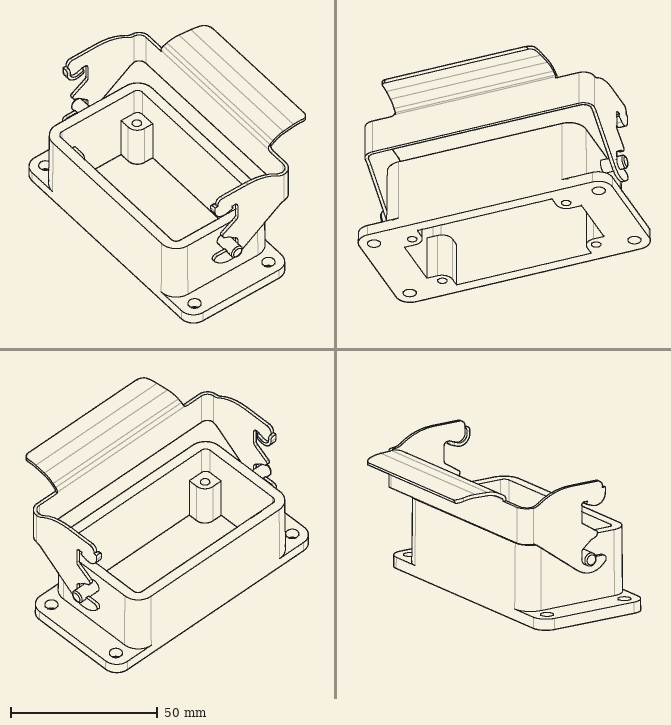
import cadquery as cq
import math

flange_length = 93.7
flange_width = 43.5
flange_height = 4.0
flange_radius = 5.25
housing_length = 73.7
housing_height = 27.7
housing_radius = 6.6
draft_angle = 0.6
cavity_length = 65.6
cavity_width = 35.2
cavity_radius = 2.1

boss_length = 7.9
boss_width = 7.6
boss_height = 16.8
boss_radius = 3.9
boss_hole_diameter = 3.2
boss_hole_x = 28.5
boss_hole_y = 13.5

mount_hole_diameter = 4.5
mount_hole_x = 41.6
mount_hole_y = 16.0

pin_radius = 2.3
pin_half_span = 45.1
pin_z = 21.7
pin_chamfer = 0.6

sheet = 1.2
lever_half_width = 42.4
lever_offset_x = -0.3
lever_back_y = 26.4
lever_bend_radius = 4.1
lever_top_z = 48.6
back_top_z = 43.5
back_bottom_z = 30.65
plate_slope = math.tan(math.radians(35))
shoulder_y = 21.2
shoulder_radius = 23.0
lower_corner_y = 21.8
strap_blend_radius = 4.7

window_radius = 1.3
window_bottom_z = 34.7
nose_upper = (-4.5, 30.4)
nose_lower = (-3.75, 28.9)
nose_root = (-1.4, 27.8)
nose_radius = 0.9
pin_slot_top_z = 24.75
jaw_tip_y = -9.9
jaw_tip_radius = 1.4
jaw_heel = (-1.7, 13.9)
jaw_heel_radius = 8.1

hook_front_y = -7.5
hook_top_z = 45.9
hook_nose_radius = 2.1
hook_radius = 4.0
hook_tip_y = 0.3
hook_tip_z = 41.0
hook_angle = math.radians(18.3)
lip_depth = 2 * sheet
lip_corner_radius = 1.1

tab_end_y = 44.3
tab_top_z = 47.5
tab_flat_start_y = 32.4
tab_flat_end_y = 37.2
tab_front_radius = 10.3
tab_front_angle = math.radians(28)
tab_heel_radius = 1.8
tab_tail_radius = 18.75
tab_root_half_width = 29.8
tab_end_half_width = 27.9
tab_corner_radius = 3.0
tab_root_fillet = 1.6

SIDES = (-1, 1)
OVERLAP = 0.9
TOUCHING = 0.0001


def rounded_outline(plane, corners):
    """Closed wire through (u, v, radius) corners, each rounded by its radius."""
    stretches = []
    for i, (u, v, radius) in enumerate(corners):
        corner = cq.Vector(u, v)
        before = (cq.Vector(*corners[i - 1][:2]) - corner).normalized()
        after = (cq.Vector(*corners[(i + 1) % len(corners)][:2]) - corner).normalized()
        half_angle = before.getAngle(after) / 2
        reach = radius / math.tan(half_angle)
        bisector = (before + after).normalized()
        middle = corner + bisector * (radius / math.sin(half_angle) - radius)
        stretches.append((corner + before * reach, middle, corner + after * reach, radius))

    path = cq.Workplane(plane).moveTo(*stretches[-1][2].toTuple()[:2])
    position = stretches[-1][2]
    for start, middle, end, radius in stretches:
        if (start - position).Length > TOUCHING:
            path = path.lineTo(start.x, start.y)
        if radius > 0:
            path = path.threePointArc((middle.x, middle.y), (end.x, end.y))
        position = end
    return path.close()


def rounded_block(length, width, height, radius):
    return cq.Workplane("XY").rect(length, width).extrude(height).edges("|Z").fillet(radius)


def drafted_block(length, width, height, radius):
    """Block with rounded corners that narrows upward from its base."""
    base = cq.Sketch().rect(length, width).vertices().fillet(radius)
    return cq.Workplane("XY").placeSketch(base).extrude(height, taper=draft_angle)


def make_boss(side_x, side_y):
    boss = (
        cq.Workplane("XY")
        .rect(boss_length + OVERLAP, boss_width + OVERLAP)
        .extrude(boss_height)
        .edges("|Z").edges("<X and <Y")
        .fillet(boss_radius)
    )
    boss = boss.translate((
        (cavity_length - boss_length + OVERLAP) / 2,
        (cavity_width - boss_width + OVERLAP) / 2,
        0,
    ))
    if side_x < 0:
        boss = boss.mirror("YZ")
    if side_y < 0:
        boss = boss.mirror("XZ")
    return boss


def make_base():
    flange = drafted_block(flange_length, flange_width, flange_height, flange_radius)
    base = flange.union(drafted_block(housing_length, flange_width, housing_height, housing_radius))
    base = base.cut(rounded_block(cavity_length, cavity_width, housing_height, cavity_radius))
    for side_x in SIDES:
        for side_y in SIDES:
            base = base.union(make_boss(side_x, side_y))
    holes = (
        (boss_hole_x, boss_hole_y, boss_hole_diameter),
        (mount_hole_x, mount_hole_y, mount_hole_diameter),
    )
    for x, y, diameter in holes:
        drill = (
            cq.Workplane("XY")
            .rect(2 * x, 2 * y, forConstruction=True)
            .vertices()
            .circle(diameter / 2)
            .extrude(housing_height)
        )
        base = base.cut(drill)
    return base


def make_pin():
    """Pivot pin on the +X wall, rooted inside the wall."""
    wall_middle = (cavity_length + housing_length) / 4
    return (
        cq.Workplane("YZ", origin=(wall_middle, 0, 0))
        .center(0, pin_z)
        .circle(pin_radius)
        .extrude(pin_half_span - wall_middle)
        .faces(">X")
        .chamfer(pin_chamfer)
    )


def hook_geometry():
    """Outer and inner corners of the hook and the inner point of its tip."""
    drop = math.tan(hook_angle)
    outer = (hook_front_y, hook_tip_z - (hook_tip_y - hook_front_y) * drop)
    tip = (hook_tip_y - sheet * math.sin(hook_angle), hook_tip_z + sheet * math.cos(hook_angle))
    inner_y = hook_front_y + sheet
    inner = (inner_y, tip[1] - (tip[0] - inner_y) * drop)
    return outer, inner, tip


def make_strap():
    """U-shaped strap trimmed to the outline of the side plates."""
    hook_corner, _, tip = hook_geometry()
    rise = lever_top_z - back_top_z
    outline = [
        (lever_back_y, back_bottom_z, 0),
        (lever_back_y, back_top_z, 0),
        (shoulder_y, back_top_z, strap_blend_radius),
        (shoulder_y - rise / plate_slope, lever_top_z, shoulder_radius),
        (hook_front_y + sheet, lever_top_z, hook_nose_radius),
        (hook_front_y + sheet, hook_top_z, 0),
        (hook_front_y, hook_top_z, 0),
        (*hook_corner, hook_radius),
        (hook_tip_y, hook_tip_z, 0),
        (*tip, 0),
        (pin_radius, tip[1], window_radius),
        (pin_radius, window_bottom_z, window_radius),
        (*nose_upper, nose_radius),
        (*nose_lower, nose_radius),
        (*nose_root, nose_radius),
        (pin_radius, pin_slot_top_z, window_radius),
        (pin_radius, pin_z - pin_radius, pin_radius),
        (-pin_radius, pin_z - pin_radius, pin_radius),
        (-pin_radius, pin_z, 0),
        (jaw_tip_y, pin_z, jaw_tip_radius),
        (*jaw_heel, jaw_heel_radius),
        (lower_corner_y, back_bottom_z, strap_blend_radius),
    ]
    trim = rounded_outline("YZ", outline).extrude(lever_half_width, both=True)

    front_y = hook_front_y - OVERLAP
    depth = lever_back_y - front_y
    strap = (
        cq.Workplane("XY")
        .center(0, front_y + depth / 2)
        .rect(2 * lever_half_width, depth)
        .extrude(lever_top_z)
        .edges("|Z and >Y")
        .fillet(lever_bend_radius)
        .faces(">Z or <Z or <Y")
        .shell(-sheet)
    )
    return strap.intersect(trim)


def make_lip():
    """Edge of the hook on the +X plate, folded inward from the side plate."""
    outer, inner, tip = hook_geometry()
    inner_x = lever_half_width - lip_depth
    outline = [
        (hook_front_y, hook_top_z, 0),
        (*outer, hook_radius),
        (hook_tip_y, hook_tip_z, 0),
        (*tip, 0),
        (*inner, hook_radius - sheet),
        (hook_front_y + sheet, hook_top_z, 0),
    ]
    lip = rounded_outline("YZ", outline).extrude(lip_depth).translate((inner_x, 0, 0))
    ends = (
        (inner_x, hook_front_y + sheet / 2, hook_top_z),
        (inner_x, (hook_tip_y + tip[0]) / 2, (hook_tip_z + tip[1]) / 2),
    )
    for end in ends:
        lip = lip.edges(cq.selectors.NearestToPointSelector(end)).fillet(lip_corner_radius)
    return lip


def on_circle(centre, radius, angle):
    """Point at an angle measured from +Z towards +Y."""
    return centre[0] + radius * math.sin(angle), centre[1] + radius * math.cos(angle)


def make_tab():
    """Curved handle tab rising from the back of the strap."""
    root_y = lever_back_y - sheet
    front = (tab_flat_start_y, tab_top_z - tab_front_radius)
    tail = (tab_flat_end_y, tab_top_z - tab_tail_radius)
    heel_angle = -tab_front_angle
    offset = on_circle(front, tab_front_radius - tab_heel_radius, heel_angle)
    heel_y = root_y + tab_heel_radius
    heel = (heel_y, offset[1] - (offset[0] - heel_y) * math.tan(tab_front_angle))
    heel_middle = (heel_angle - math.pi / 2) / 2
    tail_angle = math.asin((tab_end_y - tab_flat_end_y) / tab_tail_radius)
    root_z = back_top_z - OVERLAP

    heel_inner = tab_heel_radius - sheet
    front_inner = tab_front_radius - sheet
    tail_inner = tab_tail_radius - sheet
    profile = (
        cq.Workplane("YZ")
        .moveTo(root_y, root_z)
        .lineTo(root_y, heel[1])
        .threePointArc(on_circle(heel, tab_heel_radius, heel_middle),
                       on_circle(heel, tab_heel_radius, heel_angle))
        .lineTo(*on_circle(front, tab_front_radius, heel_angle))
        .threePointArc(on_circle(front, tab_front_radius, heel_angle / 2), (front[0], tab_top_z))
        .lineTo(tail[0], tab_top_z)
        .threePointArc(on_circle(tail, tab_tail_radius, tail_angle / 2),
                       on_circle(tail, tab_tail_radius, tail_angle))
        .lineTo(*on_circle(tail, tail_inner, tail_angle))
        .threePointArc(on_circle(tail, tail_inner, tail_angle / 2), (tail[0], tab_top_z - sheet))
        .lineTo(front[0], tab_top_z - sheet)
        .threePointArc(on_circle(front, front_inner, heel_angle / 2),
                       on_circle(front, front_inner, heel_angle))
        .lineTo(*on_circle(heel, heel_inner, heel_angle))
        .threePointArc(on_circle(heel, heel_inner, heel_middle), (lever_back_y, heel[1]))
        .lineTo(lever_back_y, root_z)
        .close()
        .extrude(tab_root_half_width + tab_root_fillet, both=True)
    )
    plan = rounded_outline("XY", [
        (-tab_root_half_width, root_y, 0),
        (tab_root_half_width, root_y, 0),
        (tab_end_half_width, tab_end_y, tab_corner_radius),
        (-tab_end_half_width, tab_end_y, tab_corner_radius),
    ]).extrude(lever_top_z)
    fillet_end = tab_root_half_width + tab_root_fillet
    fillet_top = back_top_z + tab_root_fillet
    root_fillet = (
        cq.Workplane("XZ", origin=(0, root_y, 0))
        .moveTo(tab_root_half_width - OVERLAP, back_top_z)
        .lineTo(fillet_end, back_top_z)
        .radiusArc((tab_root_half_width, fillet_top), tab_root_fillet)
        .lineTo(tab_root_half_width - OVERLAP, fillet_top)
        .close()
        .extrude(-sheet)
    )
    return profile.intersect(plan).union(profile.intersect(root_fillet))


pin = make_pin()
lip = make_lip()
base = make_base().union(pin).union(pin.mirror("YZ"))
lever = make_strap().union(lip).union(lip.mirror("YZ")).union(make_tab())
result = base.union(lever.translate((lever_offset_x, 0, 0)))